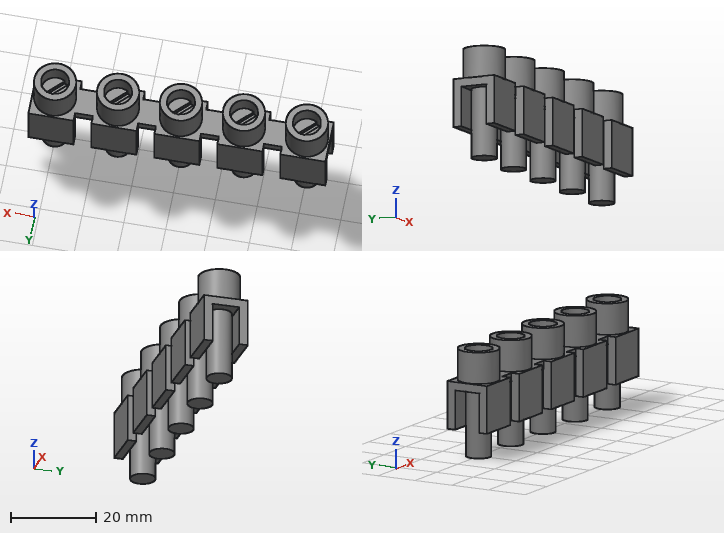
import cadquery as cq

terminal_count = 5
length = 71.0
body_size = 10.8
pitch = (length - body_size) / (terminal_count - 1)

body_height = 11.5
collar_height = 7.5
pin_drop = 6.95

bridge_thickness = 2.0
bridge_width = 6.6
channel_width = 6.5

collar_diameter = 9.95
bore_diameter = 6.6
pin_diameter = 6.0

bore_depth = 4.0
slot_width = 1.2
slot_depth = 1.0
slot_angle = 45.0

terminal_positions = [((i - (terminal_count - 1) / 2) * pitch, 0) for i in range(terminal_count)]


def box_row(x_size, y_size, height):
    """Blocks at every terminal, hanging down from Z = 0."""
    return cq.Workplane("XY").pushPoints(terminal_positions).rect(x_size, y_size).extrude(-height)


def cylinder_row(diameter, bottom, top):
    """Upright cylinders at every terminal."""
    return (
        cq.Workplane("XY", origin=(0, 0, bottom))
        .pushPoints(terminal_positions)
        .circle(diameter / 2)
        .extrude(top - bottom)
    )


def screw_slots(floor):
    """Diagonal driver slots, trimmed to the round screw faces."""
    bars = (
        cq.Workplane("XY", origin=(0, 0, floor))
        .pushPoints(terminal_positions)
        .slot2D(2 * bore_diameter, slot_width, slot_angle)
        .extrude(-slot_depth)
    )
    return bars.intersect(cylinder_row(bore_diameter, floor - slot_depth, floor))


bridge = cq.Workplane("XY").rect(length, bridge_width).extrude(-bridge_thickness)
channel = (
    cq.Workplane("XY", origin=(0, 0, -bridge_thickness))
    .rect(length, channel_width)
    .extrude(bridge_thickness - body_height)
)
bodies = box_row(body_size, body_size, body_height).union(bridge).cut(channel)

collars = cylinder_row(collar_diameter, 0, collar_height)
pins = cylinder_row(pin_diameter, -body_height - pin_drop, -bridge_thickness)

screw_face = collar_height - bore_depth
bores = cylinder_row(bore_diameter, screw_face, collar_height)

result = bodies.union(collars).union(pins).cut(bores).cut(screw_slots(screw_face))